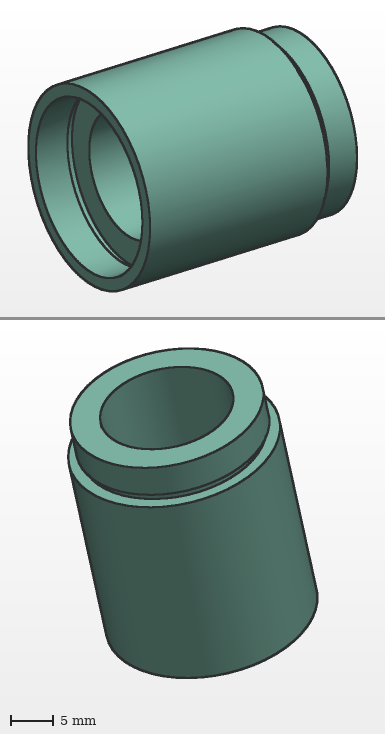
import cadquery as cq

total_length = 30.4
body_diameter = 25.4
collar_diameter = 23.2
collar_length = 4.0
neck_diameter = 22.2
neck_length = 1.0
bore_diameter = 16.0
socket_diameter = 22.2
socket_depth = 5.5
relief_diameter = 23.2
relief_width = 1.0

body_length = total_length - collar_length - neck_length


def cylinder_along_y(diameter, start, length):
    """Cylinder on the Y axis running from start toward +Y."""
    plane = cq.Workplane("XZ", origin=(0, start, 0))
    return plane.circle(diameter / 2).extrude(-length)


body = cylinder_along_y(body_diameter, 0, body_length)
neck = cylinder_along_y(neck_diameter, body_length, neck_length)
collar = cylinder_along_y(collar_diameter, body_length + neck_length, collar_length)

bore = cylinder_along_y(bore_diameter, 0, total_length)
socket = cylinder_along_y(socket_diameter, 0, socket_depth)
relief = cylinder_along_y(relief_diameter, socket_depth - relief_width, relief_width)

sleeve = body.union(neck).union(collar).cut(bore).cut(socket).cut(relief)

result = sleeve.translate((0, -total_length / 2, 0))